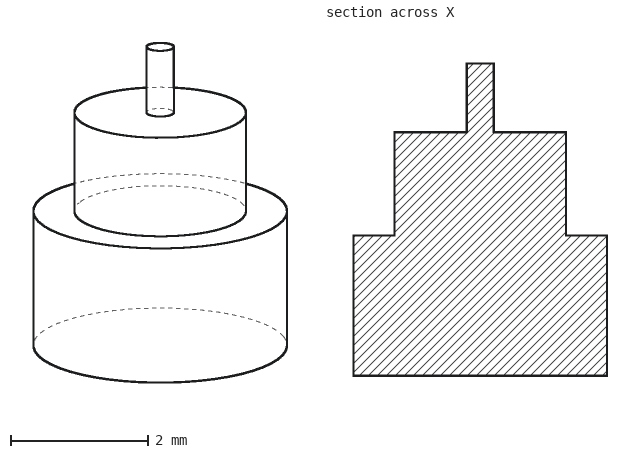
import cadquery as cq

total_height = 4.55
base_diameter = 3.7
base_height = 2.048
sleeve_diameter = 2.502
sleeve_height = 1.5
pin_diameter = 0.4
pin_height = total_height - base_height - sleeve_height


def add_cylinder(body, diameter, height):
    """Stack a coaxial cylinder on the top face of the body."""
    return body.faces(">Z").workplane().circle(diameter / 2).extrude(height)


base = cq.Workplane("XY").circle(base_diameter / 2).extrude(base_height)

base_and_sleeve = add_cylinder(base, sleeve_diameter, sleeve_height)

result = add_cylinder(base_and_sleeve, pin_diameter, pin_height)